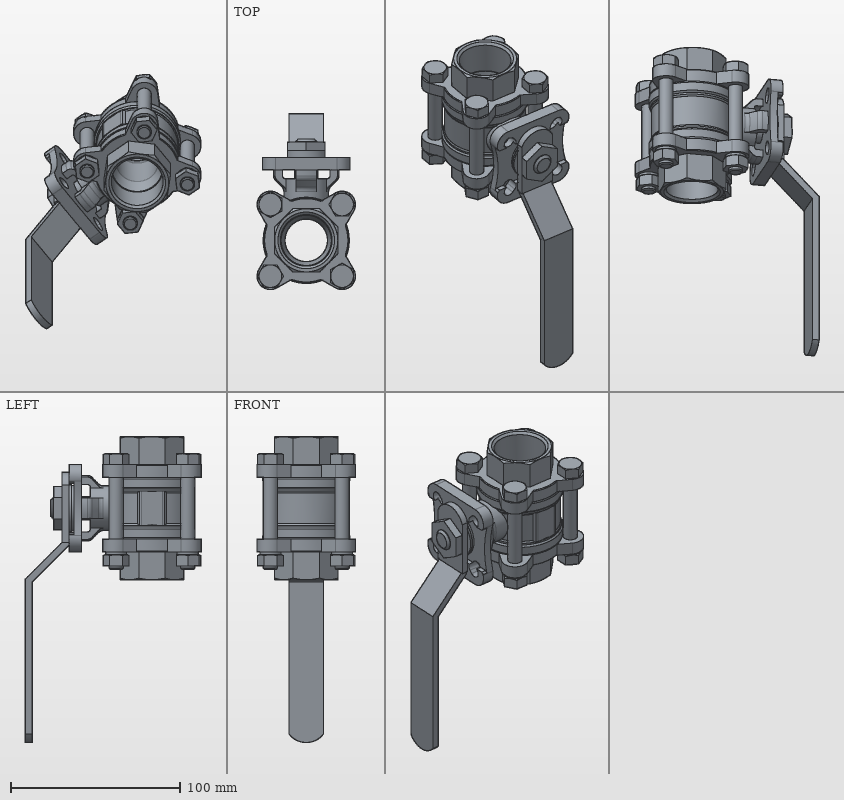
import cadquery as cq
import math


half_bend_tangent = math.tan(math.radians(22.5))
diagonal = math.sqrt(0.5)

end_z = 42.4
flange_inner_z = 18.3
flange_outer_z = 25.9
octagon_sides = 8
octagon_flats = 37.6
end_chamfer_radius = 18.6
corner_chamfer_angle = 30
bore_diameter = 25.0
thread_diameter = 30.5
thread_depth = 20.3
thread_chamfer = 1.5
seat_radius = 14.8
seat_depth = 9.0
band_radius = 51.0 / 2
flange_radius = 25.2
flange_chamfer = 0.5
band_inner_z = 12.3
band_outer_z = 17.4
shoulder_radius = 24.6
shoulder_inner_z = 10.1
shoulder_outer_z = 11.2
barrel_radius = 24.0
barrel_z = 9.0

panel_x = 24.5
panel_edge_x = 24.0
panel_base_x = 22.3
panel_top_half_width = 6.2
panel_edge_half_width = 7.5
panel_base_half_width = 8.7
panel_height = 20.3

corner_count = 4
corner_turn = 360 / corner_count
bolt_offset = 21.2
ear_radius = 8.0
ear_side_angle = 30
bolt_diameter = 8.5
bolt_tip_z = 36.2
bolt_tip_chamfer = 0.7
hex_sides = 6
hex_flats = 13.4
hex_chamfer_radius = 6.7
head_top_z = 32.2
washer_diameter = 12.5
washer_thickness = 1.6
nut_thickness = 6.5

pad_bottom_y = 41.6
pad_top_y = 49.0
pad_side = 52.0
pad_corner_radius = 7.8
scallop_radius = 58.0
recess_depth = 2.9
recess_half_width = 14.5
recess_flare = 1.6
pad_slot_diameter = 7.0
pad_slot_travel = 2.2
pad_slot_start_angle = 45
pad_slot_radius = 23.5
boss_diameter = 26.6
boss_top_y = 36.5
leg_width = 12.1
leg_outer_radius = 19.4
leg_inner_radius = 15.2
leg_inner_fillet = 1.5
leg_bend_radius = 3.8

stem_bottom_y = 29.0
stem_lower_diameter = 13.8
stem_upper_diameter = 12.5
stem_tip_y = 60.0
stem_tip_chamfer = 1.5
collar_lower_radius = 13.5
collar_upper_radius = 14.0
stem_nut_corners = 25.7
stem_nut_top_y = 58.1

lever_thickness = 4.2
lever_bend_z = -20.3
lever_outer_y = 75.0
overall_height = 181
lever_bottom_z = end_z - overall_height
lever_top_z = 21.4
lever_tip_rise = 5.2
hub_half_width = 11.2
hub_rise = 7.6
grip_half_width = 10.3


def along_y(shape):
    """Turn a shape built up the Z axis so that it stands on the Y axis."""
    return shape.rotate((0, 0, 0), (1, 0, 0), -90)


def cylinder(diameter, low, high):
    return cq.Workplane("XY").workplane(offset=low).circle(diameter / 2).extrude(high - low)


def chamfered_prism(sides, flats, low, high, top_radius, angle):
    """Regular prism with flats facing X; its top corners are turned off by a cone."""
    corner_radius = flats / 2 / math.cos(math.pi / sides)
    drop = (corner_radius - top_radius) * math.tan(math.radians(angle))
    prism = cq.Workplane("XY").workplane(offset=low).polygon(sides, 2 * corner_radius)
    prism = prism.extrude(high - low).rotate((0, 0, 0), (0, 0, 1), 180 / sides)
    envelope = (
        cq.Workplane("XZ")
        .polyline([
            (0, low),
            (corner_radius, low),
            (corner_radius, high - drop),
            (top_radius, high),
            (0, high),
        ])
        .close()
        .revolve(360, (0, 0, 0), (0, 1, 0))
    )
    return prism.intersect(envelope)


def make_barrel():
    """Round middle of the valve together with the round part of both flanges."""
    upper = [
        (barrel_radius, barrel_z),
        (shoulder_radius, shoulder_inner_z),
        (shoulder_radius, shoulder_outer_z),
        (band_radius, band_inner_z),
        (band_radius, band_outer_z),
        (flange_radius, flange_inner_z),
        (flange_radius, flange_outer_z - flange_chamfer),
        (flange_radius - flange_chamfer, flange_outer_z),
        (0, flange_outer_z),
    ]
    lower = [(radius, -z) for radius, z in reversed(upper)]
    return cq.Workplane("XZ").polyline(lower + upper).close().revolve(360, (0, 0, 0), (0, 1, 0))


def make_panel():
    """Flat raised panel with eased edges on the -X side of the barrel."""
    near_side = [
        (-panel_base_x, -panel_base_half_width),
        (-panel_edge_x, -panel_edge_half_width),
        (-panel_x, -panel_top_half_width),
    ]
    far_side = [(x, -y) for x, y in reversed(near_side)]
    return cq.Workplane("XY").polyline(near_side + far_side).close().extrude(panel_height / 2, both=True)


def make_ear():
    """Ear in the +X +Y corner, its sides tangent to the round end."""
    slope = math.radians(ear_side_angle)
    tangent_near = bolt_offset - ear_radius * math.sin(slope)
    tangent_far = bolt_offset + ear_radius * math.cos(slope)
    tip = bolt_offset + ear_radius * diagonal
    root_far = tangent_far - tangent_near * math.tan(slope)
    return (
        cq.Workplane("XY")
        .workplane(offset=flange_inner_z)
        .lineTo(0, root_far)
        .lineTo(tangent_near, tangent_far)
        .threePointArc((tip, tip), (tangent_far, tangent_near))
        .lineTo(root_far, 0)
        .close()
        .extrude(flange_outer_z - flange_inner_z)
    )


def make_bolt():
    """Bolt on the Z axis, with its head above, and washer and nut below."""
    shank = cylinder(bolt_diameter, -bolt_tip_z, flange_inner_z).faces("<Z").chamfer(bolt_tip_chamfer)
    head = chamfered_prism(
        hex_sides, hex_flats, flange_outer_z, head_top_z, hex_chamfer_radius, corner_chamfer_angle
    )
    washer_low = -flange_outer_z - washer_thickness
    washer = cylinder(washer_diameter, washer_low, -flange_outer_z)
    nut_low = washer_low - nut_thickness
    nut = chamfered_prism(
        hex_sides, hex_flats, nut_low, washer_low, hex_chamfer_radius, corner_chamfer_angle
    )
    return shank, head, washer, nut


def make_end():
    """Octagonal upper end, solid until it is bored."""
    return chamfered_prism(
        octagon_sides, octagon_flats, flange_outer_z, end_z, end_chamfer_radius, corner_chamfer_angle
    )


def make_end_bore():
    """Threaded bore of the upper end, with the cone that leads down to the flow bore."""
    bore_radius = thread_diameter / 2
    seat_z = end_z - thread_depth
    return (
        cq.Workplane("XZ")
        .polyline([
            (0, seat_z - seat_depth),
            (bore_diameter / 2, seat_z - seat_depth),
            (seat_radius, seat_z),
            (bore_radius, seat_z),
            (bore_radius, end_z - thread_chamfer),
            (bore_radius + thread_chamfer, end_z),
            (0, end_z),
        ])
        .close()
        .revolve(360, (0, 0, 0), (0, 1, 0))
    )


def make_pad():
    """Square mounting pad with hollowed X sides, a cross recess and four radial slots."""
    half = pad_side / 2
    thickness = pad_top_y - pad_bottom_y
    recess_bottom = pad_top_y - recess_depth
    corner = half - pad_corner_radius
    corner_tip = corner + pad_corner_radius * diagonal
    centre_distance = pad_corner_radius + scallop_radius
    scallop_angle = math.asin(corner / centre_distance)
    scallop_x = corner + centre_distance * math.cos(scallop_angle) - scallop_radius
    meet_x = corner + pad_corner_radius * math.cos(scallop_angle)
    meet_y = corner - pad_corner_radius * math.sin(scallop_angle)
    pad = (
        cq.Workplane("XY")
        .workplane(offset=pad_bottom_y)
        .moveTo(-corner, half)
        .lineTo(corner, half)
        .threePointArc((corner_tip, corner_tip), (meet_x, meet_y))
        .threePointArc((scallop_x, 0), (meet_x, -meet_y))
        .threePointArc((corner_tip, -corner_tip), (corner, -half))
        .lineTo(-corner, -half)
        .threePointArc((-corner_tip, -corner_tip), (-meet_x, -meet_y))
        .threePointArc((-scallop_x, 0), (-meet_x, meet_y))
        .threePointArc((-corner_tip, corner_tip), (-corner, half))
        .close()
        .extrude(thickness)
    )
    for side in (-1, 1):
        flare = (
            cq.Workplane("XY")
            .workplane(offset=recess_bottom)
            .polyline([
                (side * half, meet_y),
                (side * (half - recess_flare), recess_half_width),
                (side * (half - recess_flare), -recess_half_width),
                (side * half, -meet_y),
            ])
            .close()
            .extrude(recess_depth)
        )
        pad = pad.cut(flare)
    recess = (
        cq.Workplane("XY")
        .workplane(offset=recess_bottom)
        .rect(2 * (half - recess_flare), 2 * recess_half_width)
        .extrude(recess_depth)
    )
    slots = (
        cq.Workplane("XY")
        .workplane(offset=pad_bottom_y)
        .polarArray(pad_slot_radius, pad_slot_start_angle, 360, corner_count)
        .slot2D(pad_slot_diameter + pad_slot_travel, pad_slot_diameter)
        .extrude(thickness)
    )
    return along_y(pad.cut(recess).cut(slots))


def make_legs():
    """Four legs cut from a flared ring, joining the boss to the pad."""
    boss_radius = boss_diameter / 2
    foot_y = boss_top_y - (leg_outer_radius - boss_radius)
    root_radius = leg_inner_radius - leg_inner_fillet
    core_radius = boss_radius - leg_inner_fillet
    inset = leg_inner_fillet * (1 - diagonal)
    setback = leg_bend_radius * half_bend_tangent
    slope_setback = setback * diagonal
    ring = (
        cq.Workplane("XZ")
        .moveTo(leg_inner_radius, pad_bottom_y)
        .lineTo(leg_outer_radius, pad_bottom_y)
        .lineTo(leg_outer_radius, boss_top_y + setback)
        .tangentArcPoint((leg_outer_radius - slope_setback, boss_top_y - slope_setback), relative=False)
        .lineTo(boss_radius + slope_setback, foot_y + slope_setback)
        .tangentArcPoint((boss_radius, foot_y - setback), relative=False)
        .lineTo(core_radius, foot_y - setback)
        .lineTo(core_radius, boss_top_y)
        .lineTo(root_radius, boss_top_y)
        .threePointArc(
            (leg_inner_radius - inset, boss_top_y + inset),
            (leg_inner_radius, boss_top_y + leg_inner_fillet),
        )
        .close()
        .revolve(360, (0, 0, 0), (0, 1, 0))
    )
    span = 2 * leg_outer_radius
    cross = (
        cq.Workplane("XY")
        .rect(span, leg_width)
        .extrude(pad_bottom_y)
        .union(cq.Workplane("XY").rect(leg_width, span).extrude(pad_bottom_y))
    )
    return along_y(ring.intersect(cross))


def make_valve():
    """Complete valve body, bored along Z and with a blind hole for the stem."""
    valve = make_barrel().union(make_panel())
    end = make_end()
    ear = make_ear()
    end_bore = make_end_bore()
    valve = valve.union(end).union(end.mirror("XY"))
    for turn in range(corner_count):
        placed_ear = ear.rotate((0, 0, 0), (0, 0, 1), corner_turn * turn)
        valve = valve.union(placed_ear).union(placed_ear.mirror("XY"))
    valve = valve.union(along_y(cylinder(boss_diameter, 0, boss_top_y)))
    valve = valve.union(make_legs()).union(make_pad())
    for turn in range(corner_count):
        for piece in make_bolt():
            placed_piece = piece.translate((-bolt_offset, bolt_offset, 0))
            valve = valve.union(placed_piece.rotate((0, 0, 0), (0, 0, 1), corner_turn * turn))
    valve = valve.cut(cylinder(bore_diameter, -end_z, end_z))
    valve = valve.cut(end_bore).cut(end_bore.mirror("XY"))
    return valve.cut(along_y(cylinder(stem_lower_diameter, stem_bottom_y, pad_top_y)))


def make_stem():
    """Stem with a two-step collar in the pad recess and the nut that holds the lever."""
    collar_bottom = pad_top_y - recess_depth
    collar_step = pad_top_y - recess_depth / 2
    lever_face = pad_top_y + lever_thickness
    stem = cylinder(stem_upper_diameter, pad_top_y, stem_tip_y).faces(">Z").chamfer(stem_tip_chamfer)
    stem = stem.union(cylinder(stem_lower_diameter, stem_bottom_y, pad_top_y))
    stem = stem.union(cylinder(2 * collar_lower_radius, collar_bottom, collar_step))
    stem = stem.union(cylinder(2 * collar_upper_radius, collar_step, pad_top_y))
    nut = (
        cq.Workplane("XY")
        .workplane(offset=lever_face)
        .polygon(hex_sides, stem_nut_corners)
        .extrude(stem_nut_top_y - lever_face)
        .rotate((0, 0, 0), (0, 0, 1), 90)
    )
    return along_y(stem.union(nut))


def make_lever():
    """Twice-bent flat lever: hub on the pad, 45 degree crank, straight grip with round end."""
    hub_outer_y = pad_top_y + lever_thickness
    grip_inner_y = lever_outer_y - lever_thickness
    lower_bend_z = lever_bend_z - (lever_outer_y - hub_outer_y)
    inner_shift = lever_thickness * half_bend_tangent
    profile = [
        (pad_top_y, lever_top_z),
        (hub_outer_y, lever_top_z),
        (hub_outer_y, lever_bend_z),
        (lever_outer_y, lower_bend_z),
        (lever_outer_y, lever_bottom_z),
        (grip_inner_y, lever_bottom_z),
        (grip_inner_y, lower_bend_z - inner_shift),
        (pad_top_y, lever_bend_z - inner_shift),
    ]
    strip = cq.Workplane("YZ").polyline(profile).close().extrude(hub_half_width, both=True)
    outline = (
        cq.Workplane("XZ")
        .moveTo(-hub_half_width, lever_top_z - hub_rise)
        .threePointArc((0, lever_top_z), (hub_half_width, lever_top_z - hub_rise))
        .lineTo(hub_half_width, lever_bend_z)
        .lineTo(grip_half_width, lever_bend_z)
        .lineTo(grip_half_width, lever_bottom_z + lever_tip_rise)
        .threePointArc((0, lever_bottom_z), (-grip_half_width, lever_bottom_z + lever_tip_rise))
        .lineTo(-grip_half_width, lever_bend_z)
        .lineTo(-hub_half_width, lever_bend_z)
        .close()
        .extrude(-lever_outer_y)
    )
    stem_hole = along_y(cylinder(stem_upper_diameter, pad_top_y, hub_outer_y))
    return strip.intersect(outline).cut(stem_hole)


valve_body = make_valve()
stem = make_stem()
lever = make_lever()

result = cq.Compound.makeCompound([valve_body.val(), stem.val(), lever.val()])